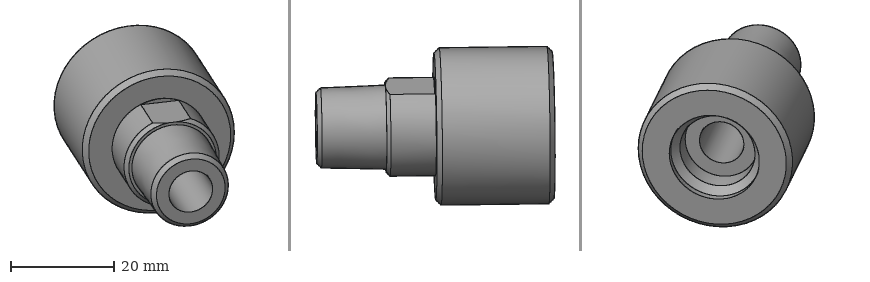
import cadquery as cq

BODY_DIAMETER = 30.48
BODY_LENGTH = 22.86
BODY_CHAMFER = 1.016

COLLAR_DIAMETER = 19.05
COLLAR_LENGTH = 9.525
COLLAR_CHAMFER = 0.762
FLAT_SPACING = 17.4625
FLAT_SETBACK = 0.127

TOTAL_LENGTH = 45.77
SPIGOT_ROOT_DIAMETER = 16.32
SPIGOT_TAPER = 1 / 16
SPIGOT_CHAMFER = 0.889

ENTRY_DIAMETER = 17.78
ENTRY_DEPTH = 1.5
SOCKET_MOUTH_DIAMETER = 14.8
SOCKET_FLOOR_DIAMETER = 14.4
CONE_DEPTH = 1.5
SOCKET_DEPTH = 7.0
BORE_DIAMETER = 8.74

COLLAR_END = BODY_LENGTH + COLLAR_LENGTH
SPIGOT_TAPER_END = TOTAL_LENGTH - SPIGOT_CHAMFER


def revolve_about_x(profile):
    """Turn a list of (x, radius) points into a solid of revolution about X."""
    outline = [(profile[0][0], 0), *profile, (profile[-1][0], 0)]
    return cq.Workplane("XY").polyline(outline).close().revolve(360, (0, 0, 0), (1, 0, 0))


def make_outside():
    body_radius = BODY_DIAMETER / 2
    collar_radius = COLLAR_DIAMETER / 2
    tip_radius = (SPIGOT_ROOT_DIAMETER - SPIGOT_TAPER * (SPIGOT_TAPER_END - COLLAR_END)) / 2
    return revolve_about_x([
        (0, body_radius - BODY_CHAMFER),
        (BODY_CHAMFER, body_radius),
        (BODY_LENGTH - BODY_CHAMFER, body_radius),
        (BODY_LENGTH, body_radius - BODY_CHAMFER),
        (BODY_LENGTH, collar_radius),
        (COLLAR_END - COLLAR_CHAMFER, collar_radius),
        (COLLAR_END, collar_radius - COLLAR_CHAMFER),
        (COLLAR_END, SPIGOT_ROOT_DIAMETER / 2),
        (SPIGOT_TAPER_END, tip_radius),
        (TOTAL_LENGTH, tip_radius - SPIGOT_CHAMFER),
    ])


def make_socket_and_bore():
    bore_radius = BORE_DIAMETER / 2
    return revolve_about_x([
        (0, ENTRY_DIAMETER / 2),
        (ENTRY_DEPTH, ENTRY_DIAMETER / 2),
        (ENTRY_DEPTH + CONE_DEPTH, SOCKET_MOUTH_DIAMETER / 2),
        (SOCKET_DEPTH, SOCKET_FLOOR_DIAMETER / 2),
        (SOCKET_DEPTH, bore_radius),
        (TOTAL_LENGTH, bore_radius),
    ])


def make_flat_cutter(side):
    """Block that removes the collar beyond one flat; side is +1 or -1 along Z."""
    start = BODY_LENGTH + FLAT_SETBACK
    length = COLLAR_END - start
    height = COLLAR_DIAMETER / 2
    center = (start + length / 2, 0, side * (FLAT_SPACING + height) / 2)
    return cq.Workplane("XY").box(length, COLLAR_DIAMETER, height).translate(center)


result = make_outside().cut(make_socket_and_bore())
for side in (1, -1):
    result = result.cut(make_flat_cutter(side))